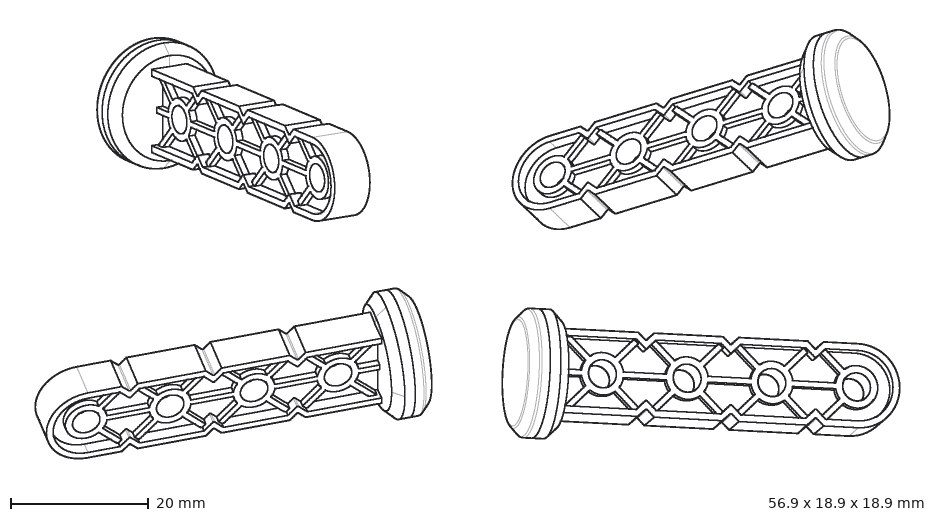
import cadquery as cq
import math

TOTAL_LENGTH = 56.85
HEAD_DIAMETER = 18.9
HEAD_LENGTH = 6.3
CAP_LENGTH = 2.95
CAP_CHAMFER = 1.5
FLANGE_CHAMFER = 1.55
FLANGE_DRAFT_ANGLE = 1.5
CAP_EDGE_FILLET = 0.5

BAR_HEIGHT = 12.5
BAR_THICKNESS = 6.0
WALL = 1.0
POCKET_DEPTH = 1.95
RIB_RECESS = 0.85

HOLE_COUNT = 4
HOLE_PITCH = 12.7
HOLE_DIAMETER = 4.15
BOSS_DIAMETER = 6.3

AXIAL_RIB_WIDTH = 0.85
DIAGONAL_RIB_WIDTH = 0.9

NOTCH_HALF_WIDTH = 1.2
INNER_NOTCH_HALF_WIDTH = 1.5
NOTCH_TIP_RADIUS = 0.15

head_radius = HEAD_DIAMETER / 2
bar_radius = BAR_HEIGHT / 2
front_face_y = -BAR_THICKNESS / 2
last_hole_x = TOTAL_LENGTH - bar_radius
hole_xs = [last_hole_x - i * HOLE_PITCH for i in reversed(range(HOLE_COUNT))]
notch_xs = [x + HOLE_PITCH / 2 for x in hole_xs[:-1]]
flange_draft = head_radius * math.tan(math.radians(FLANGE_DRAFT_ANGLE))
bar_start_x = HEAD_LENGTH - flange_draft
rib_height = POCKET_DEPTH - RIB_RECESS


def slab(outline, y_start, thickness):
    """Extrude a closed XZ outline from y_start towards +Y."""
    return outline.extrude(-thickness).translate((0, y_start, 0))


def notch_wedges(half_height, half_width, thickness):
    """Wedges with a rounded tip that point inwards from both long edges of the bar."""
    round_half_width = NOTCH_TIP_RADIUS / math.sqrt(2)
    round_start_z = half_height - (half_width - round_half_width)
    tip_z = half_height - (half_width - NOTCH_TIP_RADIUS * (math.sqrt(2) - 1))
    wedges = cq.Workplane("XZ")
    for x in notch_xs:
        outline = (
            cq.Workplane("XZ")
            .moveTo(x - half_width, half_height)
            .lineTo(x - round_half_width, round_start_z)
            .threePointArc((x, tip_z), (x + round_half_width, round_start_z))
            .lineTo(x + half_width, half_height)
            .close()
        )
        wedge = slab(outline, front_face_y, thickness)
        wedges = wedges.add(wedge).add(wedge.mirror("XY"))
    return wedges.combine()


def notched_slab(half_height, notch_half_width, thickness):
    """Slab from the head to the round tip, with V notches along both long edges."""
    outline = (
        cq.Workplane("XZ")
        .moveTo(bar_start_x, half_height)
        .lineTo(last_hole_x, half_height)
        .threePointArc((last_hole_x + half_height, 0), (last_hole_x, -half_height))
        .lineTo(bar_start_x, -half_height)
        .close()
    )
    wedges = notch_wedges(half_height, notch_half_width, thickness)
    return slab(outline, front_face_y, thickness).cut(wedges)


def rib(start_x, length, angle, width):
    """Rib on the pocket floor, running from a point on the bar axis at an angle in the XZ plane."""
    bar = cq.Workplane("XY").box(length, rib_height, width, centered=(False, False, True))
    bar = bar.rotate((0, 0, 0), (0, 1, 0), -angle)
    return bar.translate((start_x, front_face_y + RIB_RECESS, 0))


def make_web_ribs():
    """Bosses with axial and diagonal ribs that stand on the floor of one pocket."""
    bosses = cq.Workplane("XZ").pushPoints([(x, 0) for x in hole_xs]).circle(BOSS_DIAMETER / 2)
    ribs = slab(bosses, front_face_y + RIB_RECESS, rib_height)
    ribs = ribs.union(rib(bar_start_x, last_hole_x - bar_start_x, 0, AXIAL_RIB_WIDTH))
    diagonal_length = bar_radius * math.sqrt(2)
    for x in hole_xs:
        angles = [135, 225] if x == last_hole_x else [45, 135, 225, 315]
        for angle in angles:
            ribs = ribs.union(rib(x, diagonal_length, angle, DIAGONAL_RIB_WIDTH))
    return ribs


def make_pocket():
    """Material removed from one face of the bar: the floor area less its ribs and bosses."""
    recess = notched_slab(bar_radius - WALL, INNER_NOTCH_HALF_WIDTH, POCKET_DEPTH)
    return recess.cut(make_web_ribs())


def make_flange():
    """Rear half of the head. Its back slopes forward from the middle to both sides."""
    profile = (
        cq.Workplane("XY")
        .moveTo(CAP_LENGTH, -head_radius)
        .lineTo(HEAD_LENGTH - flange_draft, -head_radius)
        .lineTo(HEAD_LENGTH, 0)
        .lineTo(HEAD_LENGTH - flange_draft, head_radius)
        .lineTo(CAP_LENGTH, head_radius)
        .close()
    )
    blank = profile.extrude(head_radius, both=True)
    disc = cq.Workplane("YZ").circle(head_radius).extrude(HEAD_LENGTH)
    return disc.intersect(blank).edges("%ELLIPSE").chamfer(FLANGE_CHAMFER)


def make_arm():
    """Ribbed bar with the rear half of the round head as its flange."""
    bar = notched_slab(bar_radius, NOTCH_HALF_WIDTH, BAR_THICKNESS)
    pocket = make_pocket()
    bar = bar.cut(pocket).cut(pocket.mirror("XZ"))
    holes = cq.Workplane("XZ").pushPoints([(x, 0) for x in hole_xs]).circle(HOLE_DIAMETER / 2)
    bar = bar.cut(slab(holes, front_face_y, BAR_THICKNESS))
    return make_flange().union(bar)


def make_cap():
    """Front half of the round head, with a chamfered rim and softened chamfer edges."""
    cap = cq.Workplane("YZ").circle(head_radius).extrude(CAP_LENGTH)
    cap = cap.faces("<X").chamfer(CAP_CHAMFER)
    return cap.edges("%CIRCLE").edges("not >X").fillet(CAP_EDGE_FILLET)


arm = make_arm()
cap = make_cap()

result = cq.Compound.makeCompound([arm.val(), cap.val()])